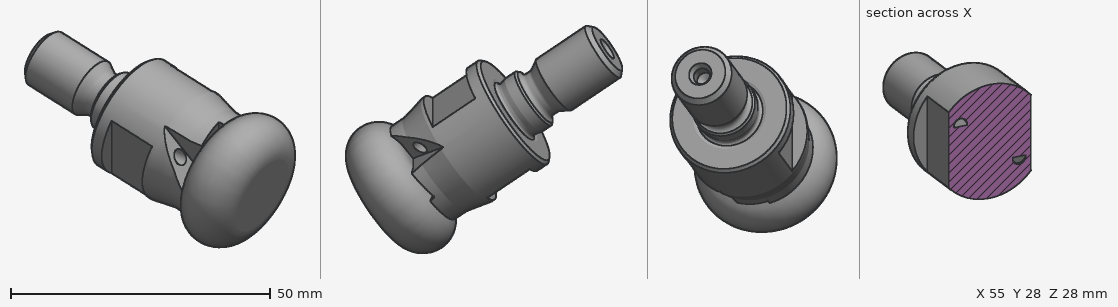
import cadquery as cq
import math


SHANK_RADIUS = 6.0
SHANK_CHAMFER = 1.0
THREAD_END = 12.65
GROOVE_RADIUS = 4.75
GROOVE_END = 16.0
GROOVE_FILLET = 1.1
GROOVE_ENTRY_ANGLE = 30.0
COLLAR_RADIUS = 6.25
COLLAR_CHAMFER = 0.45
COLLAR_END = 19.8

UNDERCUT_RADIUS = 5.95
UNDERCUT_FILLET = 0.65
UNDERCUT_ENTRY_ANGLE = 15.0
UNDERCUT_SINK = 0.2
UNDERCUT_RIM_RADIUS = 7.3

CENTRE_RIM_RADIUS = 2.25
CENTRE_BORE_RADIUS = 1.6
CENTRE_CONE_HALF_ANGLE = 30.0
CENTRE_BORE_LENGTH = 2.5
DRILL_TIP_HALF_ANGLE = 59.0

SHOULDER_X = 21.85
BODY_RADIUS = 12.0
BODY_CHAMFER = 0.6
BODY_END = 35.7
NECK_START = 40.8
NECK_RADIUS = 10.85

FLAT_START = 24.9
FLAT_LENGTH = 10.1
FLAT_HALF_WIDTH = 9.0

OVERALL_LENGTH = 55.0
HEAD_RADIUS = 14.0
RIM_RADIUS = 6.0
HEAD_CENTRE_X = OVERALL_LENGTH - RIM_RADIUS
RIM_CENTRE_RADIUS = HEAD_RADIUS - RIM_RADIUS

POCKET_ANGLE = 7.75
POCKET_WALL_OFFSET = -10.02
POCKET_RAMP_ALONG = 34.2
POCKET_RAMP_Z = 10.65
RAMP_SLOPE = 46.5
RAMP_BREAK_ALONG = 41.3
LOWER_RAMP_SLOPE = 38.0
SEAT_ALONG = 42.45
SEAT_FLOOR_Z = 2.0
SEAT_WALL_OFFSET = -3.65
CUT_REACH = 20.0

COOLANT_RADIUS = 1.4
COOLANT_X = 39.5
COOLANT_Y = -6.4
COOLANT_Z = 5.9
COOLANT_SLOPE = 12.5
COOLANT_DEPTH = 6.0


def tan_deg(angle):
    return math.tan(math.radians(angle))


def add_sloped_entry(profile, start_x, start_radius, floor_radius, angle, fillet):
    """Slope the profile down to a groove floor, with a tangent fillet."""
    slope = math.radians(angle)
    fillet_radius_start = floor_radius + fillet * (1 - math.cos(slope))
    fillet_x = start_x + (start_radius - fillet_radius_start) / math.tan(slope)
    floor_x = fillet_x + fillet * math.sin(slope)
    return (
        profile
        .lineTo(start_x, start_radius)
        .lineTo(fillet_x, fillet_radius_start)
        .radiusArc((floor_x, floor_radius), -fillet)
    )


def turned_body():
    sunk_x = SHOULDER_X + UNDERCUT_SINK
    profile = (
        cq.Workplane("XY")
        .lineTo(0, SHANK_RADIUS - SHANK_CHAMFER)
        .lineTo(SHANK_CHAMFER, SHANK_RADIUS)
    )
    profile = add_sloped_entry(
        profile, THREAD_END, SHANK_RADIUS, GROOVE_RADIUS, GROOVE_ENTRY_ANGLE, GROOVE_FILLET
    )
    profile = (
        profile
        .lineTo(GROOVE_END, GROOVE_RADIUS)
        .radiusArc((GROOVE_END + GROOVE_FILLET, GROOVE_RADIUS + GROOVE_FILLET), -GROOVE_FILLET)
        .lineTo(GROOVE_END + GROOVE_FILLET + COLLAR_CHAMFER, COLLAR_RADIUS)
    )
    profile = add_sloped_entry(
        profile, COLLAR_END, COLLAR_RADIUS, UNDERCUT_RADIUS, UNDERCUT_ENTRY_ANGLE, UNDERCUT_FILLET
    )
    profile = (
        profile
        .lineTo(sunk_x - UNDERCUT_FILLET, UNDERCUT_RADIUS)
        .radiusArc((sunk_x, UNDERCUT_RADIUS + UNDERCUT_FILLET), -UNDERCUT_FILLET)
        .lineTo(SHOULDER_X, UNDERCUT_RIM_RADIUS)
        .lineTo(SHOULDER_X, BODY_RADIUS - BODY_CHAMFER)
        .lineTo(SHOULDER_X + BODY_CHAMFER, BODY_RADIUS)
        .lineTo(BODY_END, BODY_RADIUS)
        .lineTo(NECK_START, NECK_RADIUS)
        .lineTo(HEAD_CENTRE_X, NECK_RADIUS)
        .lineTo(HEAD_CENTRE_X, 0)
        .close()
    )
    return profile.revolve(360, (0, 0, 0), (1, 0, 0))


def toroidal_head():
    profile = (
        cq.Workplane("XY")
        .moveTo(HEAD_CENTRE_X - RIM_RADIUS, 0)
        .lineTo(HEAD_CENTRE_X - RIM_RADIUS, RIM_CENTRE_RADIUS)
        .threePointArc((HEAD_CENTRE_X, HEAD_RADIUS), (OVERALL_LENGTH, RIM_CENTRE_RADIUS))
        .lineTo(OVERALL_LENGTH, 0)
        .close()
    )
    return profile.revolve(360, (0, 0, 0), (1, 0, 0))


def centre_hole():
    cone_end = (CENTRE_RIM_RADIUS - CENTRE_BORE_RADIUS) / tan_deg(CENTRE_CONE_HALF_ANGLE)
    bore_end = cone_end + CENTRE_BORE_LENGTH
    tip = bore_end + CENTRE_BORE_RADIUS / tan_deg(DRILL_TIP_HALF_ANGLE)
    profile = (
        cq.Workplane("XY")
        .lineTo(0, CENTRE_RIM_RADIUS)
        .lineTo(cone_end, CENTRE_BORE_RADIUS)
        .lineTo(bore_end, CENTRE_BORE_RADIUS)
        .lineTo(tip, 0)
        .close()
    )
    return profile.revolve(360, (0, 0, 0), (1, 0, 0))


def wrench_flat(side):
    depth = BODY_RADIUS - FLAT_HALF_WIDTH
    return (
        cq.Workplane("XY")
        .box(FLAT_LENGTH, depth, 2 * BODY_RADIUS, centered=(False, True, True))
        .translate((FLAT_START, side * (FLAT_HALF_WIDTH + depth / 2), 0))
    )


def chip_pocket():
    """Ramped corner cut with an upright side wall, open towards -Y and +Z."""
    rise = CUT_REACH - POCKET_RAMP_Z
    break_z = POCKET_RAMP_Z - (RAMP_BREAK_ALONG - POCKET_RAMP_ALONG) * tan_deg(RAMP_SLOPE)
    lower_end = RAMP_BREAK_ALONG + (break_z - SEAT_FLOOR_Z) / tan_deg(LOWER_RAMP_SLOPE)
    return (
        cq.Workplane("XZ", origin=(0, POCKET_WALL_OFFSET, 0))
        .moveTo(POCKET_RAMP_ALONG - rise / tan_deg(RAMP_SLOPE), CUT_REACH)
        .lineTo(RAMP_BREAK_ALONG, break_z)
        .lineTo(lower_end, SEAT_FLOOR_Z)
        .lineTo(HEAD_CENTRE_X, SEAT_FLOOR_Z)
        .lineTo(HEAD_CENTRE_X, CUT_REACH)
        .close()
        .extrude(CUT_REACH)
        .rotate((0, 0, 0), (0, 0, 1), POCKET_ANGLE)
    )


def clearance_slot():
    """Slot that frees the back of the head next to a chip pocket."""
    return (
        cq.Workplane("XY")
        .box(HEAD_CENTRE_X - SEAT_ALONG, CUT_REACH, CUT_REACH, centered=False)
        .translate((SEAT_ALONG, SEAT_WALL_OFFSET - CUT_REACH, SEAT_FLOOR_Z))
        .rotate((0, 0, 0), (0, 0, 1), POCKET_ANGLE)
    )


def coolant_hole():
    slope = math.radians(COOLANT_SLOPE)
    axis = cq.Vector(-math.cos(slope), 0, -math.sin(slope))
    ramp_opening = cq.Vector(COOLANT_X, COOLANT_Y, COOLANT_Z)
    start = ramp_opening - axis * (2 * COOLANT_RADIUS)
    length = COOLANT_DEPTH + 2 * COOLANT_RADIUS
    return cq.Workplane(cq.Solid.makeCylinder(COOLANT_RADIUS, length, start, axis))


body = turned_body().cut(centre_hole())
for side in (-1, 1):
    body = body.cut(wrench_flat(side))

for turn in (0, 180):
    for cutter in (chip_pocket(), clearance_slot(), coolant_hole()):
        body = body.cut(cutter.rotate((0, 0, 0), (1, 0, 0), turn))

result = body.union(toroidal_head())